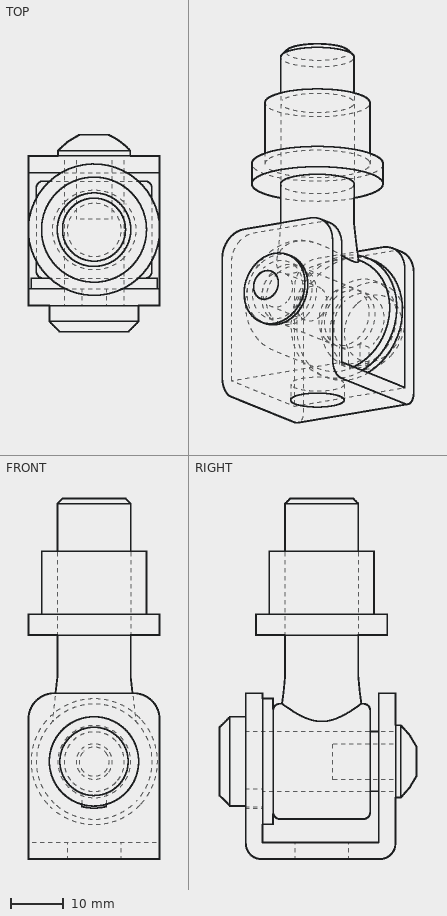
import cadquery as cq
import math


PIVOT_HEIGHT = 18.6

BRACKET_WIDTH = 25.0
WALL = 3.2
BRACKET_FRONT = -14.45
BRACKET_LENGTH = 28.5
BRACKET_REAR = BRACKET_FRONT + BRACKET_LENGTH
BRACKET_HEIGHT = PIVOT_HEIGHT + 13.0
TOP_CORNER_RADIUS = 5.0
BEND_RADIUS = 3.0
FLOOR_HOLE_DIAMETER = 10.2

WASHER_DIAMETER = 24.0
WASHER_THICKNESS = 2.0
WASHER_FRONT = BRACKET_FRONT + WALL

PIN_DIAMETER = 11.4
PIN_HEAD_DIAMETER = 17.0
PIN_HEAD_HEIGHT = 5.0
PIN_HEAD_CHAMFER = 2.0
KEY_WIDTH = 4.6
KEY_RADIUS = 8.9

SCREW_DIAMETER = 6.8
SCREW_LENGTH = 12.0
SCREW_HEAD_DIAMETER = 13.8
SCREW_HEAD_HEIGHT = 4.0
SCREW_RIM_HEIGHT = 1.0
SCREW_FLAT_DIAMETER = 5.6
DOME_MID_RADIUS = 5.4
DOME_MID_HEIGHT = 2.4

EYE_DIAMETER = 22.0
EYE_LENGTH = -2 * (WASHER_FRONT + WASHER_THICKNESS)
EYE_FILLET = 1.35
STEM_DIAMETER = 14.0
STEM_TOP = PIVOT_HEIGHT + 50.0
STEM_CHAMFER = 1.0
NECK_TOP = PIVOT_HEIGHT + 16.0
NECK_TAPER_ANGLE = 6.5

FLANGE_DIAMETER = 25.0
FLANGE_HEIGHT = 4.0
SLEEVE_DIAMETER = 20.0
SLEEVE_HEIGHT = 12.0
NUT_BOTTOM = PIVOT_HEIGHT + 24.0


def cylinder_y(diameter, y_start, y_end):
    """Cylinder on the pivot axis between two Y positions."""
    return (
        cq.Workplane("XZ", origin=(0, y_start, PIVOT_HEIGHT))
        .circle(diameter / 2)
        .extrude(y_start - y_end)
    )


def cylinder_z(diameter, z_start, z_end):
    """Cylinder on the stem axis between two Z positions."""
    return cq.Workplane("XY", origin=(0, 0, z_start)).circle(diameter / 2).extrude(z_end - z_start)


def make_key():
    """Anti-rotation key below the pin, as thick as the front wall, with a round lower end."""
    disc = cylinder_y(2 * KEY_RADIUS, BRACKET_FRONT, WASHER_FRONT)
    strip = cq.Workplane("XY").box(KEY_WIDTH, WALL, KEY_RADIUS, centered=(True, False, False))
    return disc.intersect(strip.translate((0, BRACKET_FRONT, PIVOT_HEIGHT - KEY_RADIUS)))


def make_bracket():
    outer = (
        cq.Workplane("XY", origin=(0, BRACKET_FRONT, 0))
        .box(BRACKET_WIDTH, BRACKET_LENGTH, BRACKET_HEIGHT, centered=(True, False, False))
        .edges("|X and <Z")
        .fillet(BEND_RADIUS)
        .edges("|Y and >Z")
        .fillet(TOP_CORNER_RADIUS)
    )
    channel = cq.Workplane("XY", origin=(0, WASHER_FRONT, WALL)).box(
        BRACKET_WIDTH, BRACKET_LENGTH - 2 * WALL, BRACKET_HEIGHT, centered=(True, False, False)
    )
    return (
        outer.cut(channel)
        .cut(cylinder_y(PIN_DIAMETER, BRACKET_FRONT, BRACKET_REAR))
        .cut(make_key())
        .cut(cylinder_z(FLOOR_HOLE_DIAMETER, 0, WALL))
    )


def make_washer():
    washer_rear = WASHER_FRONT + WASHER_THICKNESS
    washer = cylinder_y(WASHER_DIAMETER, WASHER_FRONT, washer_rear)
    return washer.cut(cylinder_y(PIN_DIAMETER, WASHER_FRONT, washer_rear))


def make_pin():
    head = cylinder_y(PIN_HEAD_DIAMETER, BRACKET_FRONT - PIN_HEAD_HEIGHT, BRACKET_FRONT)
    head = head.faces("<Y").chamfer(PIN_HEAD_CHAMFER)
    shank = cylinder_y(PIN_DIAMETER, BRACKET_FRONT, BRACKET_REAR)
    screw_hole = cylinder_y(SCREW_DIAMETER, BRACKET_REAR - SCREW_LENGTH, BRACKET_REAR)
    return head.union(shank).union(make_key()).cut(screw_hole)


def make_screw():
    """Screw turned about the pivot axis: shank, short rim and domed head with a flat end."""
    shank_radius = SCREW_DIAMETER / 2
    head_radius = SCREW_HEAD_DIAMETER / 2
    return (
        cq.Workplane("XY", origin=(0, BRACKET_REAR, PIVOT_HEIGHT))
        .moveTo(0, -SCREW_LENGTH)
        .lineTo(shank_radius, -SCREW_LENGTH)
        .lineTo(shank_radius, 0)
        .lineTo(head_radius, 0)
        .lineTo(head_radius, SCREW_RIM_HEIGHT)
        .threePointArc((DOME_MID_RADIUS, DOME_MID_HEIGHT), (SCREW_FLAT_DIAMETER / 2, SCREW_HEAD_HEIGHT))
        .lineTo(0, SCREW_HEAD_HEIGHT)
        .close()
        .revolve(360, (0, 0, 0), (0, 1, 0))
    )


def make_eye_bolt():
    eye = cylinder_y(EYE_DIAMETER, -EYE_LENGTH / 2, EYE_LENGTH / 2).edges().fillet(EYE_FILLET)
    stem = cylinder_z(STEM_DIAMETER, NECK_TOP, STEM_TOP).faces(">Z").chamfer(STEM_CHAMFER)
    neck_height = NECK_TOP - PIVOT_HEIGHT
    neck_top_radius = STEM_DIAMETER / 2
    neck_base_radius = neck_top_radius + neck_height * math.tan(math.radians(NECK_TAPER_ANGLE))
    neck = cq.Workplane("XY").add(
        cq.Solid.makeCone(neck_base_radius, neck_top_radius, neck_height, pnt=cq.Vector(0, 0, PIVOT_HEIGHT))
    )
    bore = cylinder_y(PIN_DIAMETER, -EYE_LENGTH / 2, EYE_LENGTH / 2)
    return eye.union(neck).union(stem).cut(bore)


def make_nut():
    flange_top = NUT_BOTTOM + FLANGE_HEIGHT
    sleeve_top = flange_top + SLEEVE_HEIGHT
    flange = cylinder_z(FLANGE_DIAMETER, NUT_BOTTOM, flange_top)
    sleeve = cylinder_z(SLEEVE_DIAMETER, flange_top, sleeve_top)
    return flange.union(sleeve).cut(cylinder_z(STEM_DIAMETER, NUT_BOTTOM, sleeve_top))


bracket = make_bracket()
washer = make_washer()
pin = make_pin()
screw = make_screw()
eye_bolt = make_eye_bolt()
nut = make_nut()

result = cq.Compound.makeCompound(
    [bracket.val(), washer.val(), pin.val(), screw.val(), eye_bolt.val(), nut.val()]
)